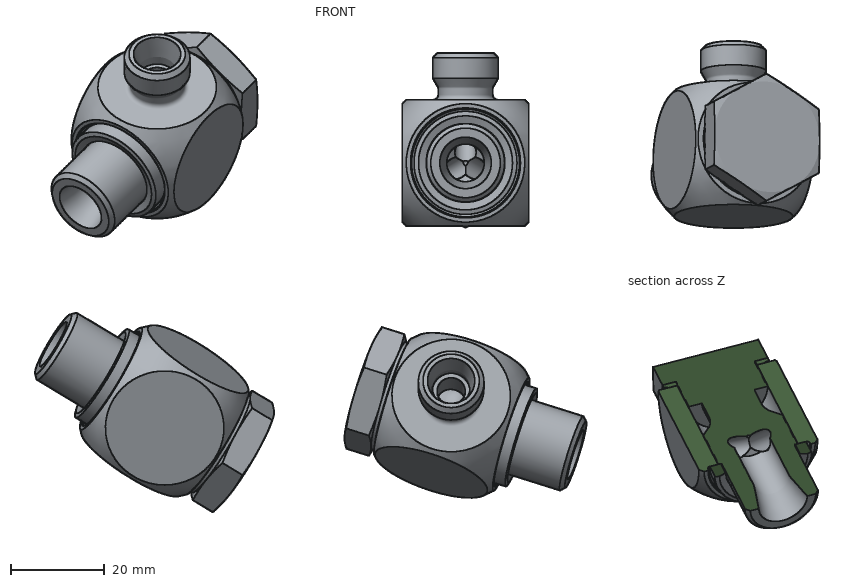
import cadquery as cq
import math


WIDTH = 27.0
HALF_WIDTH = WIDTH / 2
REAR_FACE_Y = 13.0
FRONT_FACE_Y = -HALF_WIDTH
ROUNDING_RADIUS = 18.5
BOLT_BORE_DIAMETER = 18.0
RECESS_DIAMETER = 23.0
RECESS_DEPTH = 1.0
RECESS_FILLET = 0.5
RECESS_MOUTH_CHAMFER = 0.25

PORT_TOP_Z = 23.45
PORT_DIAMETER = 14.0
PORT_TIP_DIAMETER = 12.0
PORT_COLLAR_BOTTOM_Z = 18.05
PORT_NECK_DIAMETER = 11.7
PORT_COLLAR_ANGLE = 30.0
PORT_NECK_FILLET = 0.8
PORT_BASE_FILLET = 1.0
PORT_CONE_DIAMETER = 10.1
PORT_SOCKET_DIAMETER = 8.0
PORT_SOCKET_DEPTH = 7.0
PORT_HOLE_DIAMETER = 6.0

CONE_HALF_ANGLE = 12.0

BOLT_REAR_Y = 20.0
BOLT_LENGTH = 48.0
BOLT_TIP_Y = BOLT_REAR_Y - BOLT_LENGTH
HEX_FLATS = 24.0
HEX_LENGTH = 6.0
HEX_CHAMFER = 0.5
HEX_SEAT_Y = BOLT_REAR_Y - HEX_LENGTH
SHANK_DIAMETER = 17.95
THREAD_DIAMETER = 16.65
TIP_CHAMFER = 0.9
WAIST_DIAMETER = 12.0
WAIST_REAR_Y = 6.0
WAIST_ARC_START_Y = 1.6
WAIST_ARC_RADIUS = 4.0
WAIST_ANGLE = 45.0
BORE_MOUTH_DIAMETER = 11.0
BORE_DIAMETER = 8.0
BORE_TIP_Y = -6.35
DRILL_HALF_ANGLE = 59.0
CROSS_HOLE_COUNT = 3
CROSS_HOLE_DIAMETER = 4.5
CROSS_HOLE_ANGLE = 60.0
CROSS_HOLE_START_Y = -9.45
CROSS_HOLE_LENGTH = 15.35

CREST_WIDTH = 0.95
CREST_HEIGHT = 0.25
FRONT_RING_DIAMETER = 22.0
FRONT_RING_BORE = 16.8
FRONT_RING_CREST_Y = -16.0
FRONT_RING_DISH_DEPTH = 0.6
REAR_RING_DIAMETER = HEX_FLATS

RECESS_FLOOR_Y = FRONT_FACE_Y + RECESS_DEPTH


def tan(degrees):
    return math.tan(math.radians(degrees))


def sin(degrees):
    return math.sin(math.radians(degrees))


def cos(degrees):
    return math.cos(math.radians(degrees))


def turn_about_y(profile):
    """Turn an XY-plane outline of (radius, y) about the Y axis."""
    return profile.close().revolve(360, (0, 0, 0), (0, 1, 0))


def turn_about_z(profile):
    """Turn an XZ-plane outline of (radius, z) about the Z axis."""
    return profile.close().revolve(360, (0, 0, 0), (0, 1, 0))


def cylinder_along_y(diameter, start_y, end_y):
    cylinder = cq.Workplane("XZ", origin=(0, start_y, 0)).circle(diameter / 2)
    return cylinder.extrude(start_y - end_y)


def make_port_stem():
    neck_radius = PORT_NECK_DIAMETER / 2
    collar_radius = PORT_DIAMETER / 2
    tip_radius = PORT_TIP_DIAMETER / 2
    fillet_end_radius = neck_radius + PORT_NECK_FILLET * (1 - cos(PORT_COLLAR_ANGLE))
    fillet_end_z = PORT_COLLAR_BOTTOM_Z - (collar_radius - fillet_end_radius) / tan(PORT_COLLAR_ANGLE)
    fillet_start_z = fillet_end_z - PORT_NECK_FILLET * sin(PORT_COLLAR_ANGLE)
    profile = (
        cq.Workplane("XZ")
        .moveTo(0, 0)
        .lineTo(neck_radius + PORT_BASE_FILLET, 0)
        .lineTo(neck_radius + PORT_BASE_FILLET, HALF_WIDTH)
        .radiusArc((neck_radius, HALF_WIDTH + PORT_BASE_FILLET), PORT_BASE_FILLET)
        .lineTo(neck_radius, fillet_start_z)
        .radiusArc((fillet_end_radius, fillet_end_z), PORT_NECK_FILLET)
        .lineTo(collar_radius, PORT_COLLAR_BOTTOM_Z)
        .lineTo(collar_radius, PORT_TOP_Z - (collar_radius - tip_radius))
        .lineTo(tip_radius, PORT_TOP_Z)
        .lineTo(0, PORT_TOP_Z)
    )
    return turn_about_z(profile)


def make_port_cavity():
    mouth_radius = PORT_CONE_DIAMETER / 2
    socket_radius = PORT_SOCKET_DIAMETER / 2
    hole_radius = PORT_HOLE_DIAMETER / 2
    cone_depth = (mouth_radius - socket_radius) / tan(CONE_HALF_ANGLE)
    profile = (
        cq.Workplane("XZ")
        .moveTo(0, 0)
        .lineTo(hole_radius, 0)
        .lineTo(hole_radius, PORT_TOP_Z - PORT_SOCKET_DEPTH)
        .lineTo(socket_radius, PORT_TOP_Z - PORT_SOCKET_DEPTH)
        .lineTo(socket_radius, PORT_TOP_Z - cone_depth)
        .lineTo(mouth_radius, PORT_TOP_Z)
        .lineTo(0, PORT_TOP_Z)
    )
    return turn_about_z(profile)


def make_front_recess():
    """The round pocket for the front ring, with a chamfered mouth and a rounded floor corner."""
    wall_radius = RECESS_DIAMETER / 2
    profile = (
        cq.Workplane("XY")
        .moveTo(0, FRONT_FACE_Y)
        .lineTo(wall_radius + RECESS_MOUTH_CHAMFER, FRONT_FACE_Y)
        .lineTo(wall_radius, FRONT_FACE_Y + RECESS_MOUTH_CHAMFER)
        .lineTo(wall_radius, RECESS_FLOOR_Y - RECESS_FILLET)
        .radiusArc((wall_radius - RECESS_FILLET, RECESS_FLOOR_Y), -RECESS_FILLET)
        .lineTo(0, RECESS_FLOOR_Y)
    )
    return turn_about_y(profile)


def make_housing():
    block_length = REAR_FACE_Y - FRONT_FACE_Y
    block = cq.Workplane("XY").box(WIDTH, block_length, WIDTH)
    block = block.translate((0, (REAR_FACE_Y + FRONT_FACE_Y) / 2, 0))
    block = block.intersect(cq.Workplane("XY").sphere(ROUNDING_RADIUS))
    bore = cylinder_along_y(BOLT_BORE_DIAMETER, REAR_FACE_Y, FRONT_FACE_Y)
    housing = block.union(make_port_stem()).cut(make_port_cavity())
    return housing.cut(bore).cut(make_front_recess())


def make_hex_head():
    corner_radius = HEX_FLATS / 2 / cos(30)
    corners = cq.Workplane("XZ", origin=(0, BOLT_REAR_Y, 0)).polygon(6, 2 * corner_radius)
    head = corners.extrude(HEX_LENGTH).rotate((0, 0, 0), (0, 1, 0), 30)
    envelope = turn_about_y(
        cq.Workplane("XY")
        .moveTo(0, HEX_SEAT_Y)
        .lineTo(HEX_FLATS / 2, HEX_SEAT_Y)
        .lineTo(corner_radius, HEX_SEAT_Y + HEX_CHAMFER)
        .lineTo(corner_radius, BOLT_REAR_Y - HEX_CHAMFER)
        .lineTo(HEX_FLATS / 2, BOLT_REAR_Y)
        .lineTo(0, BOLT_REAR_Y)
    )
    return head.intersect(envelope)


def make_bolt_shaft():
    shank_radius = SHANK_DIAMETER / 2
    thread_radius = THREAD_DIAMETER / 2
    waist_radius = WAIST_DIAMETER / 2
    arc_end_radius = waist_radius + WAIST_ARC_RADIUS * (1 - cos(WAIST_ANGLE))
    arc_end_y = WAIST_ARC_START_Y - WAIST_ARC_RADIUS * sin(WAIST_ANGLE)
    cone_end_y = arc_end_y - (shank_radius - arc_end_radius) / tan(WAIST_ANGLE)
    profile = (
        cq.Workplane("XY")
        .moveTo(0, HEX_SEAT_Y)
        .lineTo(shank_radius, HEX_SEAT_Y)
        .lineTo(shank_radius, WAIST_REAR_Y)
        .lineTo(waist_radius, WAIST_REAR_Y)
        .lineTo(waist_radius, WAIST_ARC_START_Y)
        .radiusArc((arc_end_radius, arc_end_y), -WAIST_ARC_RADIUS)
        .lineTo(shank_radius, cone_end_y)
        .lineTo(shank_radius, RECESS_FLOOR_Y)
        .lineTo(thread_radius, RECESS_FLOOR_Y)
        .lineTo(thread_radius, BOLT_TIP_Y + TIP_CHAMFER)
        .lineTo(thread_radius - TIP_CHAMFER, BOLT_TIP_Y)
        .lineTo(0, BOLT_TIP_Y)
    )
    return turn_about_y(profile)


def make_bolt_bore():
    mouth_radius = BORE_MOUTH_DIAMETER / 2
    bore_radius = BORE_DIAMETER / 2
    cone_depth = (mouth_radius - bore_radius) / tan(CONE_HALF_ANGLE)
    profile = (
        cq.Workplane("XY")
        .moveTo(0, BOLT_TIP_Y)
        .lineTo(mouth_radius, BOLT_TIP_Y)
        .lineTo(bore_radius, BOLT_TIP_Y + cone_depth)
        .lineTo(bore_radius, BORE_TIP_Y - bore_radius / tan(DRILL_HALF_ANGLE))
        .lineTo(0, BORE_TIP_Y)
    )
    return turn_about_y(profile)


def make_cross_hole(turn):
    """A slanted hole from the bore axis out through the waist cone, turned about the Y axis."""
    start = cq.Vector(0, CROSS_HOLE_START_Y, 0)
    direction = cq.Vector(0, cos(CROSS_HOLE_ANGLE), sin(CROSS_HOLE_ANGLE))
    hole = cq.Solid.makeCylinder(CROSS_HOLE_DIAMETER / 2, CROSS_HOLE_LENGTH, start, direction)
    return cq.Workplane(hole).rotate((0, 0, 0), (0, 1, 0), turn)


def make_bolt():
    bolt = make_hex_head().union(make_bolt_shaft()).cut(make_bolt_bore())
    for index in range(CROSS_HOLE_COUNT):
        bolt = bolt.cut(make_cross_hole(index * 360 / CROSS_HOLE_COUNT))
    return bolt


def make_front_ring():
    outer_radius = FRONT_RING_DIAMETER / 2
    bore_radius = FRONT_RING_BORE / 2
    profile = (
        cq.Workplane("XY")
        .moveTo(bore_radius, RECESS_FLOOR_Y)
        .lineTo(outer_radius, RECESS_FLOOR_Y)
        .lineTo(outer_radius, FRONT_RING_CREST_Y + CREST_HEIGHT)
        .lineTo(outer_radius - CREST_WIDTH, FRONT_RING_CREST_Y)
        .lineTo(bore_radius, FRONT_RING_CREST_Y + FRONT_RING_DISH_DEPTH)
    )
    return turn_about_y(profile)


def make_rear_ring():
    outer_radius = REAR_RING_DIAMETER / 2
    bore_radius = BOLT_BORE_DIAMETER / 2
    profile = (
        cq.Workplane("XY")
        .moveTo(bore_radius, HEX_SEAT_Y)
        .lineTo(outer_radius, HEX_SEAT_Y)
        .lineTo(outer_radius, REAR_FACE_Y + CREST_HEIGHT)
        .lineTo(outer_radius - CREST_WIDTH, REAR_FACE_Y)
        .lineTo(bore_radius, REAR_FACE_Y)
    )
    return turn_about_y(profile)


housing = make_housing()
bolt = make_bolt()
front_ring = make_front_ring()
rear_ring = make_rear_ring()

result = cq.Compound.makeCompound([housing.val(), bolt.val(), front_ring.val(), rear_ring.val()])